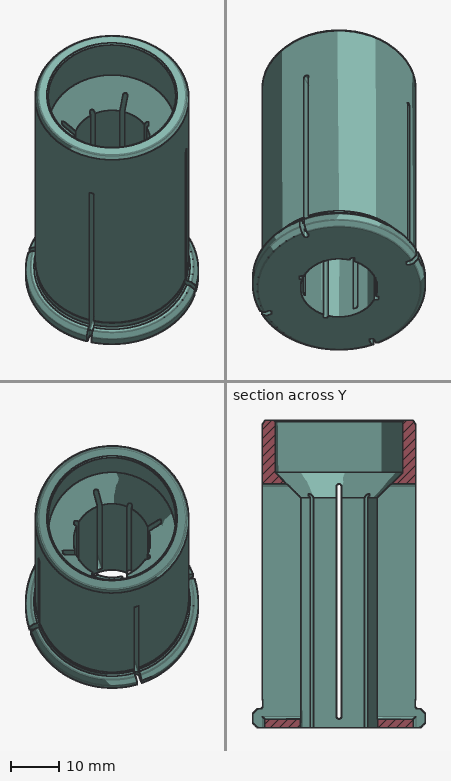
import cadquery as cq

total_height = 64.0
body_radius = 16.0
rim_chamfer_width = 0.6
rim_chamfer_height = 0.9
rim_rounding = 0.3

flange_radius = 18.0
flange_height = 4.0
flange_chamfer = 1.0
flange_rounding = 0.25

relief_depth = 0.1
relief_slope_height = 0.4
relief_foot_width = 0.4
relief_top = 6.0

upper_bore_radius = 13.25
lower_bore_radius = 8.0
bore_chamfer = 0.3
cone_top = 53.1
cone_bottom = cone_top - (upper_bore_radius - lower_bore_radius)

slot_width = 1.0
slot_radius = slot_width / 2
slot_bottom = 1.85
slot_top = 50.7
notch_inner_radius = body_radius - slot_radius

groove_outer_radius = 8.8

slot_angles = [0, 90, 180, 270]
groove_angles = [angle + 45 for angle in slot_angles]


def flange():
    """Solid disc with chamfered rims and rounded chamfer edges."""
    disc = cq.Workplane("XY").circle(flange_radius).extrude(flange_height)
    return disc.edges().chamfer(flange_chamfer).edges("%CIRCLE").fillet(flange_rounding)


def body():
    """Solid column above the flange, with the relief groove at its foot."""
    relief_radius = body_radius - relief_depth
    column = (
        cq.Workplane("XZ")
        .moveTo(0, flange_height)
        .lineTo(relief_radius + relief_foot_width, flange_height)
        .lineTo(relief_radius, flange_height + relief_slope_height)
        .lineTo(relief_radius, relief_top - relief_slope_height)
        .lineTo(body_radius, relief_top)
        .lineTo(body_radius, total_height - rim_chamfer_height)
        .lineTo(body_radius - rim_chamfer_width, total_height)
        .lineTo(0, total_height)
        .close()
        .revolve(360, (0, 0, 0), (0, 1, 0))
    )
    return column.faces(">Z").edges().fillet(rim_rounding)


def bore():
    """Stepped bore through the full height, as a cutting solid."""
    return (
        cq.Workplane("XZ")
        .lineTo(lower_bore_radius, 0)
        .lineTo(lower_bore_radius, cone_bottom)
        .lineTo(upper_bore_radius, cone_top)
        .lineTo(upper_bore_radius, total_height - bore_chamfer)
        .lineTo(upper_bore_radius + bore_chamfer, total_height)
        .lineTo(0, total_height)
        .close()
        .revolve(360, (0, 0, 0), (0, 1, 0))
    )


def wall_slot():
    """Round-ended slot through the wall on the +X side."""
    return (
        cq.Workplane("YZ")
        .center(0, (slot_top + slot_bottom) / 2)
        .slot2D(slot_top - slot_bottom, slot_width, 90)
        .extrude(flange_radius)
    )


def upright_cutter(inner_radius, outer_radius, height):
    """Cutter along +X with round upright ends, rising from the base plane."""
    return (
        cq.Workplane("XY")
        .center((inner_radius + outer_radius) / 2, 0)
        .slot2D(outer_radius - inner_radius, slot_width)
        .extrude(height)
    )


def cut_around(part, cutter, angles):
    """Cut the part with the cutter turned about Z to each angle."""
    for angle in angles:
        part = part.cut(cutter.rotate((0, 0, 0), (0, 0, 1), angle))
    return part


flange_notch = upright_cutter(notch_inner_radius, flange_radius + slot_width, slot_bottom + slot_radius)
bore_groove = upright_cutter(0, groove_outer_radius, total_height)

result = flange().union(body()).cut(bore())
result = cut_around(result, wall_slot(), slot_angles)
result = cut_around(result, flange_notch, slot_angles)
result = cut_around(result, bore_groove, groove_angles)